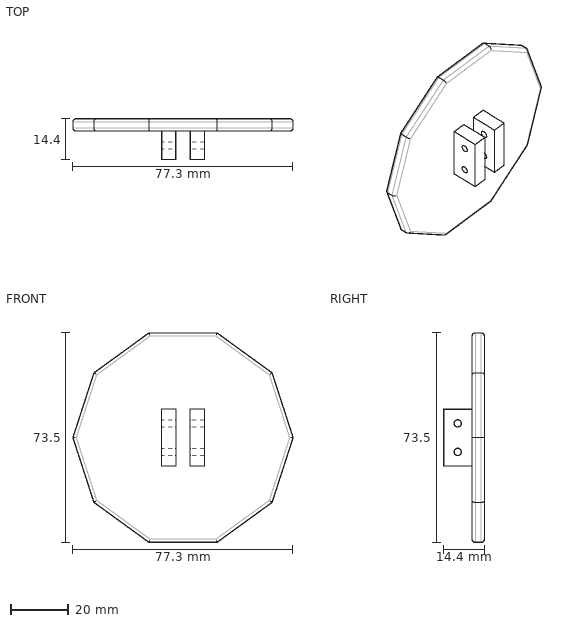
import cadquery as cq

corner_diameter = 77.3
side_count = 10
total_depth = 14.4
edge_radius = 1.15

lug_width = 5.0
lug_gap = 5.0
lug_height = 20.0
lug_depth = 10.0
hole_diameter = 2.5
hole_spacing = lug_height / 2

plate_thickness = total_depth - lug_depth
lug_offset = (lug_gap + lug_width) / 2


def make_plate():
    """Decagon from Y = 0 to +Y, with both face outlines rounded."""
    plate = (
        cq.Workplane("XZ")
        .polygon(side_count, corner_diameter)
        .extrude(-plate_thickness)
    )
    return plate.faces("<Y or >Y").edges().fillet(edge_radius)


def make_lugs():
    """Two parallel blocks in front of the plate, cross-drilled along X."""
    lugs = (
        cq.Workplane("XZ")
        .pushPoints([(-lug_offset, 0), (lug_offset, 0)])
        .rect(lug_width, lug_height)
        .extrude(lug_depth)
    )
    holes = (
        cq.Workplane("YZ")
        .pushPoints([(-lug_depth / 2, -hole_spacing / 2), (-lug_depth / 2, hole_spacing / 2)])
        .circle(hole_diameter / 2)
        .extrude(lug_gap / 2 + lug_width, both=True)
    )
    return lugs.cut(holes)


result = make_plate().union(make_lugs())